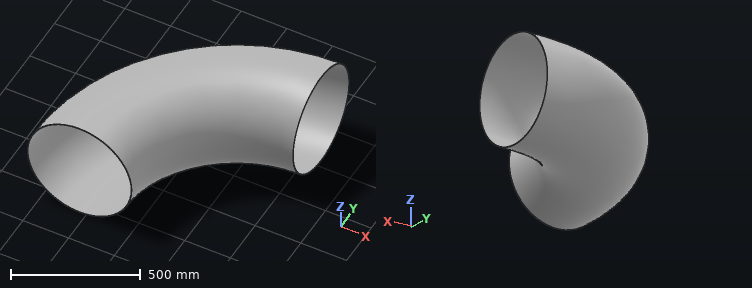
import cadquery as cq

outer_diameter = 457.2
wall_thickness = 3.0
bend_radius = 686.0
bend_angle = 90.0

inner_diameter = outer_diameter - 2 * wall_thickness


def make_elbow():
    """Sweep the pipe ring from the end facing -Y round to the end facing +X."""
    ring = (
        cq.Workplane("XZ")
        .center(-bend_radius, 0)
        .circle(outer_diameter / 2)
        .circle(inner_diameter / 2)
    )
    axis_start = (bend_radius, 0)
    axis_end = (bend_radius, -1)
    return ring.revolve(bend_angle, axis_start, axis_end)


result = make_elbow()